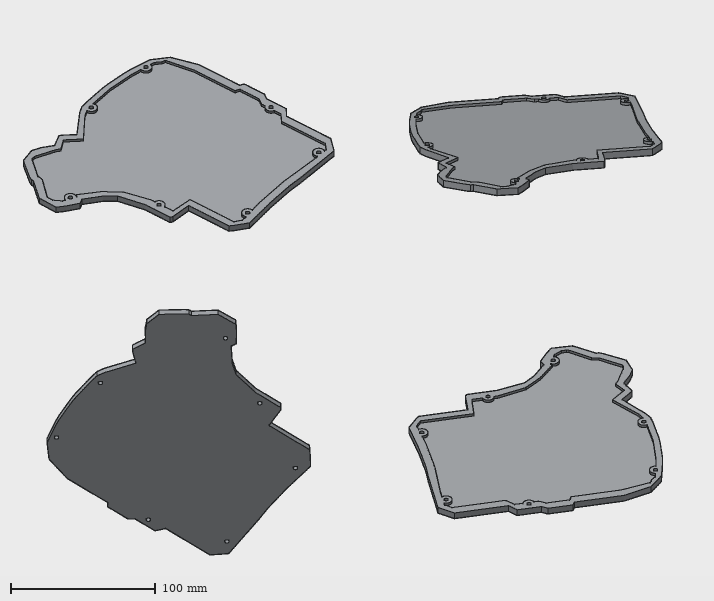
import cadquery as cq

LENGTH_X = 167.66
LENGTH_Y = 181.95
THICKNESS = 5.0
POCKET_DEPTH = 2.0

SCREW_HOLE_DIAMETER = 3.0
SCREW_BOSS_DIAMETER = 8.5

RIGHT = LENGTH_X / 2
LEFT = -RIGHT
BACK = LENGTH_Y / 2
FRONT = -BACK

RIM_BACK_Y = 88.0
RIM_BACK_RIGHT_Y = 81.9
RIM_FRONT_RIGHT_Y = -33.7
RIM_FRONT_STEP_Y = -51.2
POCKET_BACK_Y = 84.7
POCKET_BACK_STEP_Y = 81.4
POCKET_BACK_RIGHT_Y = 75.4
POCKET_FRONT_RIGHT_Y = -28.2
POCKET_FRONT_STEP_Y = -44.7

OUTER_CORNERS = [
    (-8.2, BACK),
    (9.6, BACK),
    (13.6, RIM_BACK_Y),
    (30.9, RIM_BACK_Y),
    (35.6, RIM_BACK_RIGHT_Y),
    (74.2, RIM_BACK_RIGHT_Y),
    (RIGHT, 73.1),
    (82.3, 35.9),
    (81.4, 24.6),
    (81.4, 3.3),
    (82.8, -22.4),
    (75.9, -31.0),
    (73.3, RIM_FRONT_RIGHT_Y),
    (38.1, RIM_FRONT_RIGHT_Y),
    (36.4, -49.6),
    (35.3, RIM_FRONT_STEP_Y),
    (13.5, RIM_FRONT_STEP_Y),
    (-7.1, -55.6),
    (-15.1, -61.7),
    (-24.9, -73.3),
    (-23.3, -77.4),
    (-29.3, -85.5),
    (-34.2, FRONT),
    (-35.9, -90.7),
    (-49.1, -90.3),
    (-63.3, -78.3),
    (-65.2, -78.3),
    (-67.5, -77.0),
    (-81.8, -65.6),
    (-83.1, -56.7),
    (-83.6, -54.0),
    (-80.1, -47.4),
    (-74.3, -40.2),
    (-74.3, -39.4),
    (-77.9, -29.9),
    (-75.9, -27.7),
    (-68.7, -21.6),
    (-81.1, -1.9),
    (-83.5, 3.6),
    (LEFT, 9.6),
    (LEFT, 27.6),
    (-83.5, 32.9),
    (-81.2, 50.4),
    (-80.0, 55.9),
    (-75.6, 71.5),
    (-65.9, 82.1),
    (-45.4, RIM_BACK_Y),
    (-9.9, RIM_BACK_Y),
]

POCKET_CORNERS = [
    (-7.3, POCKET_BACK_Y),
    (9.4, POCKET_BACK_Y),
    (14.2, POCKET_BACK_STEP_Y),
    (31.3, POCKET_BACK_STEP_Y),
    (36.0, POCKET_BACK_RIGHT_Y),
    (74.3, POCKET_BACK_RIGHT_Y),
    (78.6, 71.0),
    (78.0, 55.1),
    (75.4, 26.8),
    (75.4, -1.2),
    (77.1, -23.2),
    (73.3, POCKET_FRONT_RIGHT_Y),
    (35.1, POCKET_FRONT_RIGHT_Y),
    (32.9, POCKET_FRONT_STEP_Y),
    (14.2, POCKET_FRONT_STEP_Y),
    (-6.7, -49.9),
    (-19.1, -59.0),
    (-30.7, -71.8),
    (-29.5, -73.0),
    (-34.5, -82.9),
    (-40.4, -86.3),
    (-43.8, -86.3),
    (-45.7, -85.6),
    (-59.0, -73.6),
    (-63.8, -72.5),
    (-78.1, -60.5),
    (-78.1, -57.5),
    (-70.3, -42.4),
    (-68.3, -40.3),
    (-72.7, -31.7),
    (-62.2, -22.5),
    (-76.3, -2.2),
    (-79.2, 5.3),
    (-79.2, 30.5),
    (-76.4, 51.2),
    (-72.9, 66.3),
    (-71.2, 71.3),
    (-67.7, 74.8),
    (-66.5, 77.4),
    (-44.8, POCKET_BACK_STEP_Y),
    (-8.9, POCKET_BACK_STEP_Y),
]

SCREW_POINTS = [
    (21.3, 82.9),
    (76.3, 65.3),
    (75.3, -14.9),
    (21.2, -45.5),
    (-32.3, -76.7),
    (-77.8, 7.1),
    (-73.2, 63.7),
]


def prism(corners, bottom, height):
    """Straight-walled solid over a closed polygon."""
    return cq.Workplane("XY").workplane(offset=bottom).polyline(corners).close().extrude(height)


def cylinders(diameter, bottom, height):
    """One upright cylinder on every screw point."""
    plane = cq.Workplane("XY").workplane(offset=bottom)
    return plane.pushPoints(SCREW_POINTS).circle(diameter / 2).extrude(height)


def make_pocket():
    """Open-top recess that leaves the screw bosses standing at rim height."""
    floor = THICKNESS - POCKET_DEPTH
    recess = prism(POCKET_CORNERS, floor, POCKET_DEPTH)
    return recess.cut(cylinders(SCREW_BOSS_DIAMETER, floor, POCKET_DEPTH))


plate = prism(OUTER_CORNERS, 0, THICKNESS)
tray = plate.cut(make_pocket())
result = tray.cut(cylinders(SCREW_HOLE_DIAMETER, 0, THICKNESS))